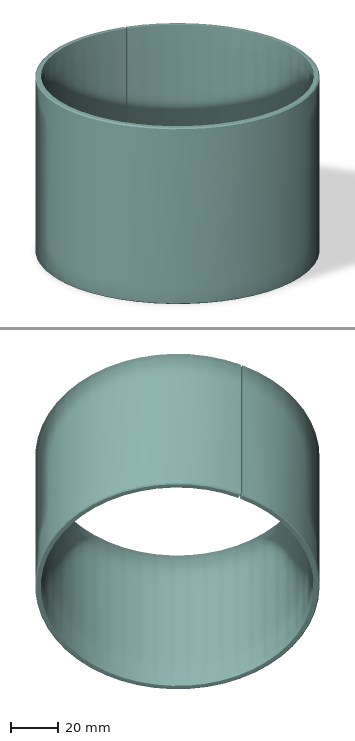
import cadquery as cq
import math

outer_diameter = 120.0
height = 80.0
wall = 2.4
slit_width = 1.0
chamfer_radial = 0.5
chamfer_axial = 0.5

outer_radius = outer_diameter / 2
inner_radius = outer_radius - wall
slit_angle = math.degrees(slit_width / outer_radius)


def split_sleeve():
    """Wall section on the -X side, revolved just short of a full turn.

    The sweep starts at Y = 0 and leaves the slit open on its +Y side.
    """
    section = [
        (-inner_radius, 0),
        (-outer_radius + chamfer_radial, 0),
        (-outer_radius, chamfer_axial),
        (-outer_radius, height - chamfer_axial),
        (-outer_radius + chamfer_radial, height),
        (-inner_radius, height),
    ]
    profile = cq.Workplane("XZ").polyline(section).close()
    return profile.revolve(360 - slit_angle, (0, 0), (0, 1))


result = split_sleeve()